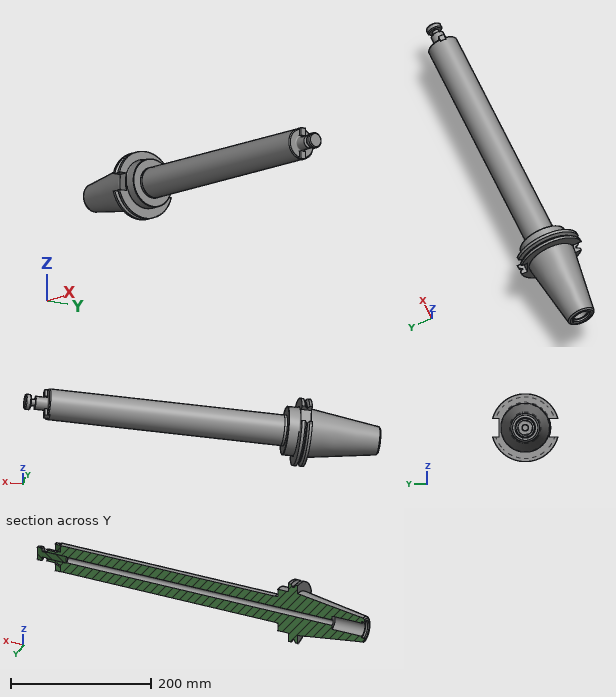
import cadquery as cq

GAUGE_X = 102.0
GAUGE_DIAMETER = 70.0
TAPER_RATIO = 7 / 24
NOSE_CHAMFER = 2.0
FLANGE_START_X = GAUGE_X + 3.0
FLANGE_END_X = 120.0
FLANGE_DIAMETER = 97.5
GROOVE_X = 112.0
GROOVE_WIDTH = 6.5
GROOVE_FLOOR_WIDTH = 1.5
GROOVE_DEPTH = 4.5
COLLAR_END_X = 137.0
COLLAR_CHAMFER = 0.75
COLLAR_FILLET = 1.5

SLOT_WIDTH = 25.5
SLOT_FLOOR_FRONT = 34.5
SLOT_FLOOR_BACK = 37.5

NECK_DIAMETER = 45.0
NECK_END_X = 140.5
SHANK_RELIEF = 0.2
SHANK_DIAMETER = NECK_DIAMETER - 2 * SHANK_RELIEF
SHANK_END_X = 482.0
SHANK_CHAMFER = 1.5
SPIGOT_DIAMETER = 19.0
SPIGOT_END_X = 499.5
SPIGOT_FILLET = 1.5

ENTRY_DIAMETER = 26.0
ENTRY_DEPTH = 4.5
MOUTH_DIAMETER = 29.5
DRAWBAR_BORE_DIAMETER = 21.0
DRAWBAR_BORE_DEPTH = 51.5
COOLANT_DIAMETER = 8.0

STEM_LENGTH_IN_SPIGOT = 31.0
STEM_START_X = SPIGOT_END_X - STEM_LENGTH_IN_SPIGOT
STEM_DIAMETER = 10.0
HEAD_START_X = 506.5
HEAD_END_X = 514.5
HEAD_DIAMETER = 22.0
HEAD_CHAMFER = 1.5

KEY_WIDTH = 8.0
KEY_START_X = 478.5
KEY_END_X = 486.5
KEY_INNER_Z = 11.5
KEY_OUTER_Z = NECK_DIAMETER / 2


def revolve_profile(points):
    """Turn a closed outline of (x, radius) points about the X axis."""
    return cq.Workplane("XY").polyline(points).close().revolve(360, (0, 0, 0), (1, 0, 0))


def rod(diameter, start_x, end_x):
    """Cylinder along the X axis."""
    return cq.Workplane("YZ", origin=(start_x, 0, 0)).circle(diameter / 2).extrude(end_x - start_x)


def fillet_root(body, x, radius, fillet):
    """Round the inside corner on the circle of the given radius at the given X."""
    margin = 0.05
    reach = radius + margin
    near_root = cq.selectors.BoxSelector(
        (x - margin, -reach, -reach), (x + margin, reach, reach), boundingbox=True)
    return body.edges(near_root).fillet(fillet)


def make_slot(side, floor):
    """Block cutting one driving slot; side is +1 or -1 along Y, floor its distance from the axis."""
    depth = FLANGE_DIAMETER / 2
    block = cq.Workplane("XY").box(FLANGE_END_X - FLANGE_START_X, depth, SLOT_WIDTH)
    return block.translate(((FLANGE_START_X + FLANGE_END_X) / 2, side * (floor + depth / 2), 0))


def make_bore():
    """Solid filling the stepped bore of the holder, from the nose to the clamping screw."""
    entry_r = ENTRY_DIAMETER / 2
    mouth_r = MOUTH_DIAMETER / 2
    drawbar_r = DRAWBAR_BORE_DIAMETER / 2
    coolant_r = COOLANT_DIAMETER / 2
    return revolve_profile([
        (0, 0),
        (0, mouth_r),
        (mouth_r - entry_r, entry_r),
        (ENTRY_DEPTH, entry_r),
        (ENTRY_DEPTH, drawbar_r),
        (DRAWBAR_BORE_DEPTH, drawbar_r),
        (DRAWBAR_BORE_DEPTH, coolant_r),
        (STEM_START_X, coolant_r),
        (STEM_START_X, 0),
    ])


def make_holder():
    """Taper, grooved flange, collar, long shank and spigot in one turned body."""
    gauge_r = GAUGE_DIAMETER / 2
    nose_r = (GAUGE_DIAMETER - GAUGE_X * TAPER_RATIO) / 2
    flange_r = FLANGE_DIAMETER / 2
    neck_r = NECK_DIAMETER / 2
    shank_r = SHANK_DIAMETER / 2
    spigot_r = SPIGOT_DIAMETER / 2
    holder = revolve_profile([
        (0, 0),
        (0, nose_r - NOSE_CHAMFER),
        (NOSE_CHAMFER, nose_r + NOSE_CHAMFER * TAPER_RATIO / 2),
        (GAUGE_X, gauge_r),
        (FLANGE_START_X, gauge_r),
        (FLANGE_START_X, flange_r),
        (GROOVE_X - GROOVE_WIDTH / 2, flange_r),
        (GROOVE_X - GROOVE_FLOOR_WIDTH / 2, flange_r - GROOVE_DEPTH),
        (GROOVE_X + GROOVE_FLOOR_WIDTH / 2, flange_r - GROOVE_DEPTH),
        (GROOVE_X + GROOVE_WIDTH / 2, flange_r),
        (FLANGE_END_X, flange_r),
        (FLANGE_END_X, gauge_r),
        (COLLAR_END_X - COLLAR_CHAMFER, gauge_r),
        (COLLAR_END_X, gauge_r - COLLAR_CHAMFER),
        (COLLAR_END_X, neck_r),
        (NECK_END_X, neck_r),
        (NECK_END_X, shank_r),
        (SHANK_END_X - SHANK_CHAMFER, shank_r),
        (SHANK_END_X, shank_r - SHANK_CHAMFER),
        (SHANK_END_X, spigot_r),
        (SPIGOT_END_X, spigot_r),
        (SPIGOT_END_X, 0),
    ])
    holder = fillet_root(holder, FLANGE_END_X, gauge_r, COLLAR_FILLET)
    holder = fillet_root(holder, SHANK_END_X, spigot_r, SPIGOT_FILLET)
    holder = holder.cut(make_slot(-1, SLOT_FLOOR_FRONT))
    holder = holder.cut(make_slot(1, SLOT_FLOOR_BACK))
    return holder.cut(make_bore())


def make_screw():
    """Clamping screw with a plain stem and a chamfered head."""
    stem = rod(STEM_DIAMETER, STEM_START_X, HEAD_START_X)
    head = rod(HEAD_DIAMETER, HEAD_START_X, HEAD_END_X).edges().chamfer(HEAD_CHAMFER)
    return stem.union(head)


def make_key(side):
    """Flat-topped block sunk in the end of the shank; side is +1 or -1 along Z."""
    block = cq.Workplane("XY").box(KEY_END_X - KEY_START_X, KEY_WIDTH, KEY_OUTER_Z - KEY_INNER_Z)
    return block.translate(((KEY_START_X + KEY_END_X) / 2, 0, side * (KEY_INNER_Z + KEY_OUTER_Z) / 2))


screw = make_screw()
keys = [make_key(side) for side in (1, -1)]
holder = make_holder().cut(screw)
for key in keys:
    holder = holder.cut(key)

result = cq.Compound.makeCompound([holder.val(), screw.val(), *[key.val() for key in keys]])